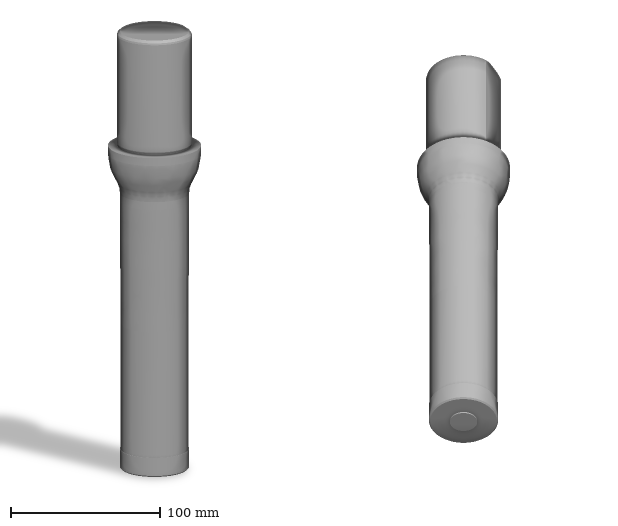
import cadquery as cq

TOTAL_HEIGHT = 306.0
COLLAR_TOP = 226.0

BOSS_DIAMETER = 18.5
BOSS_HEIGHT = 1.0
CAP_DIAMETER = 46.5
CAP_CHAMFER = 1.0
CAP_TOP = 14.5

GRIP_DIAMETER = 45.5
GRIP_TOP = 102.0
NECK_DIAMETER = 46.5
NECK_BOTTOM = 187.5
NECK_TOP = 193.0

COLLAR_DIAMETER = 62.5
COLLAR_RIM_HEIGHT = 5.5
BOWL_MID_DIAMETER = 54.0
BOWL_MID_HEIGHT = 204.0

PLUG_DIAMETER = 50.5
PLUG_LIP_DIAMETER = 50.0
PLUG_FACE_DIAMETER = 46.5
PLUG_LIP_DEPTH = 1.5
PLUG_EDGE_DEPTH = 2.8
PLUG_FOOT_DIAMETER = 49.5
PLUG_FOOT_HEIGHT = 1.0
PLUG_FOOT_BEVEL = 1.2
FLAT_OFFSET = 22.5
FLAT_RAMP_BOTTOM = 229.5


def make_handle():
    cap_radius = CAP_DIAMETER / 2
    grip_radius = GRIP_DIAMETER / 2
    neck_radius = NECK_DIAMETER / 2
    collar_radius = COLLAR_DIAMETER / 2
    boss_radius = BOSS_DIAMETER / 2

    rim_bottom = COLLAR_TOP - COLLAR_RIM_HEIGHT
    underside = [
        (BOWL_MID_DIAMETER / 2, BOWL_MID_HEIGHT),
        (collar_radius, rim_bottom),
    ]
    vertical = (0, 1)

    profile = (
        cq.Workplane("XZ")
        .lineTo(boss_radius, 0)
        .lineTo(boss_radius, BOSS_HEIGHT)
        .lineTo(cap_radius - CAP_CHAMFER, BOSS_HEIGHT)
        .lineTo(cap_radius, BOSS_HEIGHT + CAP_CHAMFER)
        .lineTo(cap_radius, CAP_TOP)
        .lineTo(grip_radius, CAP_TOP)
        .lineTo(grip_radius, GRIP_TOP)
        .lineTo(neck_radius, NECK_BOTTOM)
        .lineTo(neck_radius, NECK_TOP)
        .spline(underside, tangents=[vertical, vertical], includeCurrent=True)
        .lineTo(collar_radius, COLLAR_TOP)
        .lineTo(0, COLLAR_TOP)
        .close()
    )
    return profile.revolve(360, (0, 0, 0), (0, 1, 0))


def make_plug_blank():
    plug_radius = PLUG_DIAMETER / 2
    foot_radius = PLUG_FOOT_DIAMETER / 2
    foot_top = COLLAR_TOP + PLUG_FOOT_HEIGHT
    profile = (
        cq.Workplane("XZ")
        .moveTo(0, COLLAR_TOP)
        .lineTo(foot_radius, COLLAR_TOP)
        .lineTo(foot_radius, foot_top)
        .lineTo(plug_radius, foot_top + PLUG_FOOT_BEVEL)
        .lineTo(plug_radius, TOTAL_HEIGHT - PLUG_EDGE_DEPTH)
        .lineTo(PLUG_LIP_DIAMETER / 2, TOTAL_HEIGHT - PLUG_LIP_DEPTH)
        .lineTo(PLUG_FACE_DIAMETER / 2, TOTAL_HEIGHT)
        .lineTo(0, TOTAL_HEIGHT)
        .close()
    )
    return profile.revolve(360, (0, 0, 0), (0, 1, 0))


def make_flat_cutter():
    outer = PLUG_DIAMETER / 2
    ramp_top = FLAT_RAMP_BOTTOM + outer - FLAT_OFFSET
    return (
        cq.Workplane("YZ")
        .moveTo(outer, FLAT_RAMP_BOTTOM)
        .lineTo(outer, TOTAL_HEIGHT)
        .lineTo(FLAT_OFFSET, TOTAL_HEIGHT)
        .lineTo(FLAT_OFFSET, ramp_top)
        .close()
        .extrude(outer, both=True)
    )


handle = make_handle()
plug = make_plug_blank().cut(make_flat_cutter())

result = cq.Compound.makeCompound([handle.val(), plug.val()])